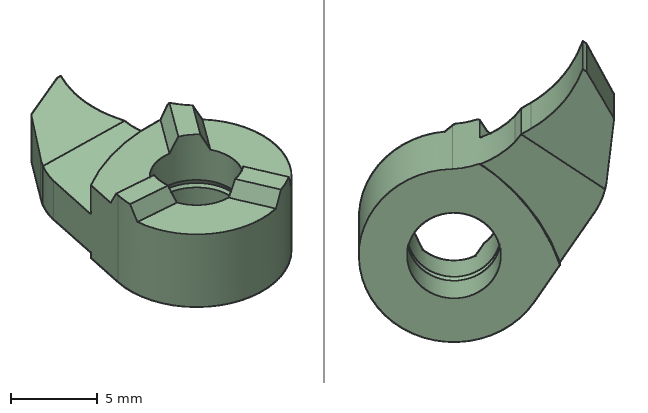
import cadquery as cq
import math

ring_radius = 5.5
bore_radius = 2.71
ring_height = 5.28
groove_depth = 0.15
groove_top = 3.0
groove_root = 2.65
groove_bottom = 2.45

tooth_count = 3
first_tooth_angle = 30
tooth_height = 1.01
tooth_base_width = 2.4
tooth_top_width = 1.29

point_x = ring_radius - 19.5
point_back_y = 1.27
point_front_y = 1.0
nose = (-12.48, -2.16)
belly_start = (-9.25, -4.11)
belly_middle = (-8.5, -4.52)
belly_end_x = -7.1
tangent_x = -0.47
hollow_middle = (-11.56, 0.88)
hollow_end = (-9.13, 1.33)
back_y = 1.56
back_end_x = -7.9
neck_middle = (-5.81, 2.18)
neck_end_x = -4.33

arm_middle = 1.77
joint_x = -8.5
joint_half_height = 1.72
relief_slope_y = 0.062
tip_slope_x = -0.032

shoulder_back = (-5.55, 2.35)
shoulder_middle = (-4.85, -2.07)
shoulder_front = (-3.18, -5.3)
shoulder_fillet = 0.1

margin = 1.95
reach = 15.6


def ring_y(x):
    """Positive Y on the outer ring circle at a given X."""
    return math.sqrt(ring_radius**2 - x**2)


def outline(bottom, top):
    """Prism of the whole plan outline: ring, neck, hollow back, point and belly."""
    tangent_y = -ring_y(tangent_x)
    belly_slope = tangent_x / -tangent_y
    belly_end_y = tangent_y + belly_slope * (belly_end_x - tangent_x)
    return (
        cq.Workplane("XY", origin=(0, 0, bottom))
        .moveTo(tangent_x, tangent_y)
        .lineTo(belly_end_x, belly_end_y)
        .threePointArc(belly_middle, belly_start)
        .lineTo(*nose)
        .lineTo(point_x, point_front_y)
        .lineTo(point_x, point_back_y)
        .threePointArc(hollow_middle, hollow_end)
        .lineTo(joint_x, back_y)
        .lineTo(back_end_x, back_y)
        .threePointArc(neck_middle, (neck_end_x, ring_y(neck_end_x)))
        .threePointArc((ring_radius, 0), (tangent_x, tangent_y))
        .close()
        .extrude(top - bottom)
    )


def wedge(x_min, x_max, slope_x):
    """Block with sloping upper and lower faces, flush at the joint for any slope_x."""
    def section(x):
        def half(y):
            return joint_half_height + slope_x * (x - joint_x) + relief_slope_y * y

        corners = [
            (x, -reach, arm_middle - half(-reach)),
            (x, reach, arm_middle - half(reach)),
            (x, reach, arm_middle + half(reach)),
            (x, -reach, arm_middle + half(-reach)),
        ]
        return cq.Wire.makePolygon([cq.Vector(*c) for c in corners], close=True)

    return cq.Workplane(cq.Solid.makeLoft([section(x_min), section(x_max)], True))


def shoulder_region():
    """Everything on the ring side of the curved shoulder."""
    return (
        cq.Workplane("XY", origin=(0, 0, -margin))
        .moveTo(*shoulder_back)
        .threePointArc(shoulder_middle, shoulder_front)
        .lineTo(shoulder_front[0], -reach)
        .lineTo(reach, -reach)
        .lineTo(reach, reach)
        .lineTo(shoulder_back[0], reach)
        .close()
        .extrude(ring_height + tooth_height + 2 * margin)
    )


def tooth(angle):
    """Trapezoidal radial ridge, longer than the ring is wide."""
    return (
        cq.Workplane("YZ")
        .moveTo(-tooth_base_width / 2, ring_height)
        .lineTo(-tooth_top_width / 2, ring_height + tooth_height)
        .lineTo(tooth_top_width / 2, ring_height + tooth_height)
        .lineTo(tooth_base_width / 2, ring_height)
        .close()
        .extrude(ring_radius + margin)
        .rotate((0, 0, 0), (0, 0, 1), angle)
    )


def bore_cutter():
    """Through bore with a V-shaped groove in its wall, revolved about Z."""
    top = ring_height + tooth_height + margin
    return (
        cq.Workplane("XZ")
        .moveTo(0, -margin)
        .lineTo(bore_radius, -margin)
        .lineTo(bore_radius, groove_bottom)
        .lineTo(bore_radius + groove_depth, groove_root)
        .lineTo(bore_radius, groove_top)
        .lineTo(bore_radius, top)
        .lineTo(0, top)
        .close()
        .revolve(360, (0, 0, 0), (0, 1, 0))
    )


def make_holder():
    """Toothed ring and the neck of the arm up to the tip joint."""
    head_region = shoulder_region()
    neck = outline(-margin, ring_height).intersect(
        wedge(joint_x, 0, 0)
    ).cut(head_region)
    holder = outline(0, ring_height).intersect(head_region).union(neck)
    shoulder_foot_z = arm_middle + joint_half_height + relief_slope_y * shoulder_middle[1]
    shoulder_foot = cq.selectors.NearestToPointSelector((*shoulder_middle, shoulder_foot_z))
    holder = holder.edges(shoulder_foot).fillet(shoulder_fillet)

    tooth_limits = outline(0, ring_height + tooth_height).intersect(head_region)
    for i in range(tooth_count):
        ridge = tooth(first_tooth_angle + i * 360 / tooth_count)
        holder = holder.union(ridge.intersect(tooth_limits))

    return holder.cut(bore_cutter())


def make_tip():
    """Tapering cutting tip, butted against the end of the neck."""
    limits = wedge(-reach, joint_x, tip_slope_x)
    return outline(-margin, ring_height).intersect(limits)


holder = make_holder()
tip = make_tip()
result = cq.Compound.makeCompound([holder.val(), tip.val()])